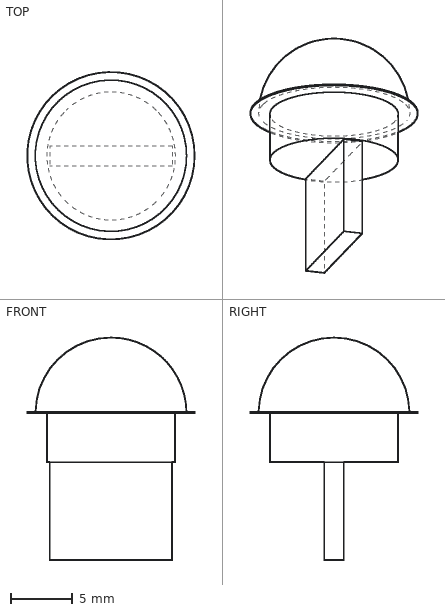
import cadquery as cq

total_height = 18.2
blade_height = 8.0
collar_height = 4.0
flange_thickness = 0.11

flange_diameter = 13.7
collar_diameter = 10.5
blade_width = 10.01
blade_thickness = 1.6

collar_bottom = blade_height
flange_bottom = collar_bottom + collar_height

dome_radius = total_height - flange_bottom


def make_disc(diameter, bottom, height):
    """Upright cylinder on the Z axis."""
    return cq.Workplane("XY").workplane(offset=bottom).circle(diameter / 2).extrude(height)


def make_dome():
    """Part of a sphere that stands above the underside of the flange."""
    keep = make_disc(flange_diameter, flange_bottom, dome_radius)
    sphere = cq.Workplane("XY").sphere(dome_radius).translate((0, 0, flange_bottom))
    return sphere.intersect(keep)


def make_cap():
    """Domed cap with a thin flange and a collar below it."""
    collar = make_disc(collar_diameter, collar_bottom, collar_height)
    flange = make_disc(flange_diameter, flange_bottom, flange_thickness)
    return collar.union(flange).union(make_dome())


def make_blade():
    """Flat rectangular blade that meets the underside of the collar."""
    return cq.Workplane("XY").rect(blade_width, blade_thickness).extrude(blade_height)


cap = make_cap()
blade = make_blade()

result = cq.Compound.makeCompound([cap.val(), blade.val()])